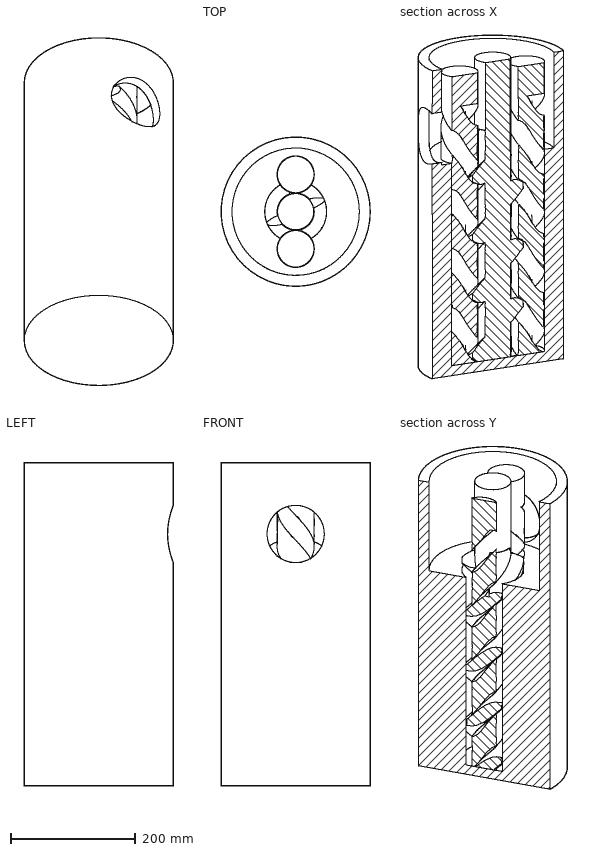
import cadquery as cq
import math

height = 520.0
outer_diameter = 240.0
bore_diameter = 205.0
port_diameter = 92.0
port_height = 405.0
floor_height = 359.0
bottom_thickness = (outer_diameter - bore_diameter) / 2

idler_diameter = 60.0
idler_radius = idler_diameter / 2
axis_distance = idler_diameter
drive_radius = idler_diameter * 5 / 6
shaft_diameter = 58.0
idler_top = 505.0
drive_thread_top = 405.5
idler_thread_top = 452.5
lead = idler_diameter * 10 / 3
starts = 2
land_angle = 108.0
mesh_height = 415.0
flank_points = 7
tooth_end_angle = 12.0
tooth_end_height = 392.5
tooth_end_bottom = 322.5


def polar(radius, degrees):
    angle = math.radians(degrees)
    return (radius * math.cos(angle), radius * math.sin(angle))


def cycloid_flank(tracing_radius, end_radius):
    """Radii and angles traced by a point of the mating screw, from roll angle zero."""
    cosine = (axis_distance**2 + tracing_radius**2 - end_radius**2) / (2 * axis_distance * tracing_radius)
    last_roll = math.acos(cosine)
    flank = []
    for i in range(flank_points):
        roll = last_roll * i / (flank_points - 1)
        x = axis_distance * math.cos(roll) - tracing_radius * math.cos(2 * roll)
        y = axis_distance * math.sin(roll) - tracing_radius * math.sin(2 * roll)
        flank.append((math.hypot(x, y), math.degrees(math.atan2(y, x))))
    return flank


def screw_section(rising_flank, tip_half_angle, first_tooth_angle):
    """Two-tooth section; the rising flank runs from root to tip, ending at the angle zero."""
    tip_radius = rising_flank[-1][0]
    root_radius = rising_flank[0][0]
    tooth_pitch = 360 / starts
    root_half_angle = tip_half_angle - rising_flank[0][1]
    section = cq.Workplane("XY").moveTo(*polar(root_radius, first_tooth_angle - root_half_angle))
    for tooth in range(starts):
        middle = first_tooth_angle + tooth * tooth_pitch
        rise = [polar(r, middle - tip_half_angle + a) for r, a in rising_flank]
        fall = [polar(r, middle + tip_half_angle - a) for r, a in reversed(rising_flank)]
        section = section.spline(rise[1:], includeCurrent=True)
        section = section.threePointArc(polar(tip_radius, middle), fall[0])
        section = section.spline(fall[1:], includeCurrent=True)
        next_root = middle + tooth_pitch - root_half_angle
        section = section.threePointArc(
            polar(root_radius, middle + tooth_pitch / 2), polar(root_radius, next_root)
        )
    return section.close()


def twisted_thread(rising_flank, tip_half_angle, mesh_angle, thread_top, hand):
    """Thread from the bottom plate to thread_top; hand is 1 for right and -1 for left."""
    length = thread_top - bottom_thickness
    bottom_angle = mesh_angle - hand * 360 * (mesh_height - bottom_thickness) / lead
    section = screw_section(rising_flank, tip_half_angle, bottom_angle)
    thread = section.twistExtrude(length, hand * 360 * length / lead)
    return thread.translate((0, 0, bottom_thickness))


def cylinder(diameter, bottom, top):
    return cq.Workplane("XY").workplane(offset=bottom).circle(diameter / 2).extrude(top - bottom)


def make_housing():
    housing = cylinder(outer_diameter, 0, height)
    housing = housing.cut(cylinder(bore_diameter, floor_height, height))
    housing = housing.cut(cylinder(2 * drive_radius, bottom_thickness, height))
    for side in (-1, 1):
        idler_bore = cylinder(idler_diameter, bottom_thickness, height)
        housing = housing.cut(idler_bore.translate((0, side * axis_distance, 0)))
    port = cq.Workplane("XZ").center(0, port_height).circle(port_diameter / 2).extrude(outer_diameter)
    return housing.cut(port)


def tooth_end_cutter():
    """Block on one side of the drive axis, beyond a plane square to the tooth's tip helix."""
    x, y = polar(drive_radius, tooth_end_angle)
    tangent_x, tangent_y = polar(2 * math.pi * drive_radius, tooth_end_angle + 90)
    plane = cq.Plane(
        origin=(x, y, tooth_end_height),
        xDir=(x, y, 0),
        normal=(tangent_x, tangent_y, lead),
    )
    beyond = cq.Workplane(plane).rect(2 * drive_radius, height).extrude(height)
    block_height = height - tooth_end_bottom
    block = cq.Workplane("XY").box(height, height, block_height, centered=(False, True, False))
    block = block.rotate((0, 0, 0), (0, 0, 1), tooth_end_angle).translate((0, 0, tooth_end_bottom))
    return beyond.intersect(block)


def make_drive_screw():
    flank = cycloid_flank(idler_radius, drive_radius)
    flank_angle = flank[-1][1]
    rising = [(r, a - flank_angle) for r, a in flank]
    tip_half_angle = (360 / starts - land_angle) / 2 - flank_angle
    thread = twisted_thread(rising, tip_half_angle, 90, drive_thread_top, 1)
    cutter = tooth_end_cutter()
    for tooth in range(starts):
        thread = thread.cut(cutter.rotate((0, 0, 0), (0, 0, 1), tooth * 360 / starts))
    return thread.union(cylinder(shaft_diameter, bottom_thickness, height))


def make_idler(side):
    flank = cycloid_flank(drive_radius, idler_radius)
    tip_angle = -flank[-1][1]
    rising = [(r, -a - tip_angle) for r, a in flank]
    thread = twisted_thread(rising, land_angle / 2, 0, idler_thread_top, -1)
    idler = thread.union(cylinder(idler_diameter, idler_thread_top, idler_top))
    return idler.translate((0, side * axis_distance, 0))


housing = make_housing()
drive_screw = make_drive_screw()
idlers = [make_idler(side) for side in (-1, 1)]

result = cq.Compound.makeCompound(
    [housing.val(), drive_screw.val(), *[idler.val() for idler in idlers]]
)